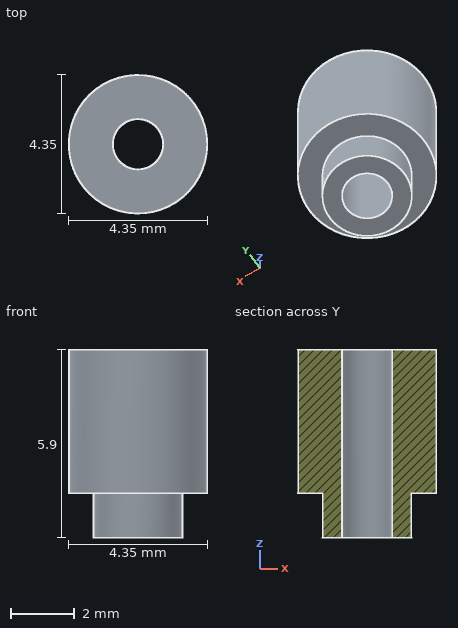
import cadquery as cq

total_height = 5.9
body_diameter = 4.35
spigot_diameter = 2.8
spigot_height = 1.4
bore_diameter = 1.57

body_height = total_height - spigot_height

spigot = cq.Workplane("XY").circle(spigot_diameter / 2).extrude(spigot_height)

body = (
    cq.Workplane("XY")
    .workplane(offset=spigot_height)
    .circle(body_diameter / 2)
    .extrude(body_height)
)

bore = cq.Workplane("XY").circle(bore_diameter / 2).extrude(total_height)

result = spigot.union(body).cut(bore)